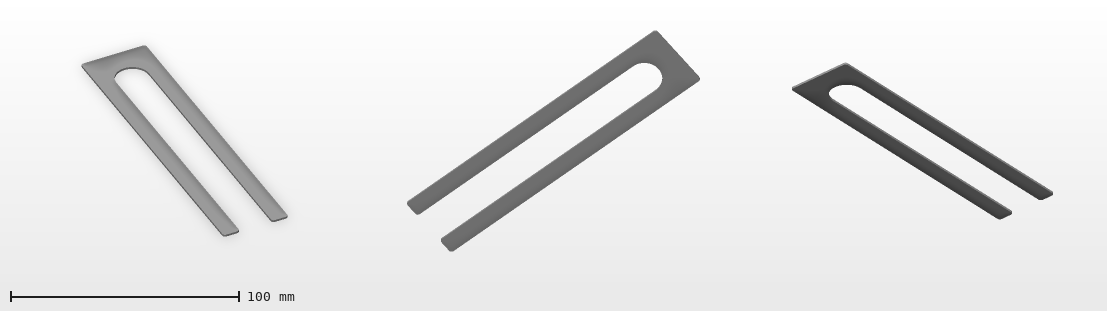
import cadquery as cq

length = 139.7
width = 31.7
thickness = 1.0
slot_width = 15.8
base_length = 11.2
base_corner_radius = 1.3
tip_corner_radius = 1.4

slot_radius = slot_width / 2
closed_end = -length / 2
open_end = length / 2
slot_centre = closed_end + base_length + slot_radius


def make_slot():
    """Round-bottomed slot, open at the prong tips."""
    return (
        cq.Workplane("XY")
        .moveTo(open_end, slot_radius)
        .lineTo(slot_centre, slot_radius)
        .threePointArc((slot_centre - slot_radius, 0), (slot_centre, -slot_radius))
        .lineTo(open_end, -slot_radius)
        .close()
        .extrude(thickness, both=True)
    )


fork = cq.Workplane("XY").box(length, width, thickness).cut(make_slot())

fork = fork.edges("|Z and <X").fillet(base_corner_radius)
result = fork.edges("|Z and >X").fillet(tip_corner_radius)